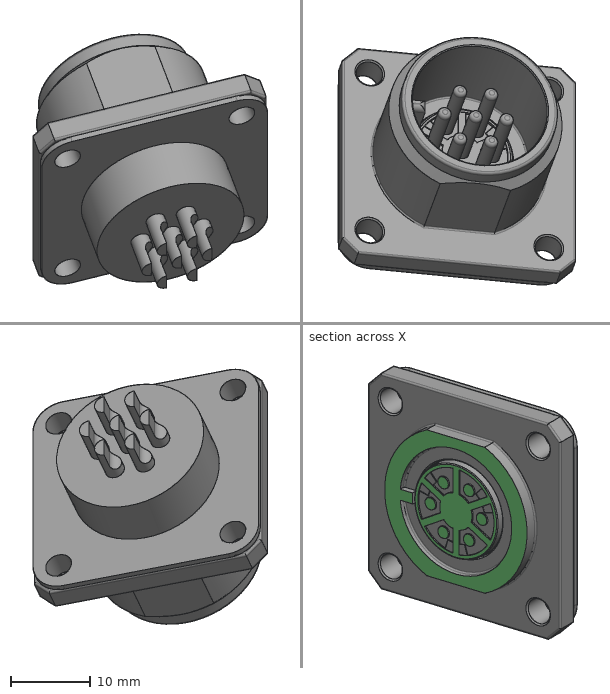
import cadquery as cq
import math

RIM_END = 2.0
FLANGE_FRONT = 14.0
FLANGE_BACK = 17.0
GASKET_BACK = 17.75
BARREL_BACK = 24.5
TAIL_END = 29.3
PIN_TIP = 2.5
KEY_NOSE = 1.1
INSERT_FACE = 12.0
SOCKET_FLOOR = 13.0

RIM_DIAMETER = 20.0
RIM_FILLET = 0.35
BODY_DIAMETER = 22.25
ACROSS_FLATS = 20.35
FOOT_FILLET = 0.2
SOCKET_DIAMETER = 17.3
SOCKET_MOUTH_DIAMETER = 17.6
SOCKET_FLOOR_FILLET = 0.2
BARREL_DIAMETER = 19.4

FLANGE_SIZE = 30.0
FLANGE_CORNER = 2.0
FLANGE_FRONT_FILLET = 0.25
FLANGE_BACK_FILLET = 0.3
GASKET_SIZE = 29.8
GASKET_CORNER_RADIUS = 4.0
HOLE_SPACING = 23.0
HOLE_DIAMETER = 3.4
HOLE_CHAMFER = 0.2

GROOVE_DIAMETER = 13.2
GROOVE_MOUTH_DIAMETER = 13.55
INSERT_DIAMETER = 13.0
INSERT_CHAMFER = 0.3
POCKET_OUTER_DIAMETER = 11.8
HUB_DIAMETER = 5.1
SPOKE_RECESS = 0.1
POCKET_DEPTH = 0.3
SPOKE_WIDTH = 1.0
SPOKE_COUNT = 6
PAD_INNER_DIAMETER = 8.95
PAD_HALF_ANGLE = 17.0
PAD_HEIGHT = 0.15
PAD_ANGLES = (30, 150, 270)

PIN_DIAMETER = 1.7
PIN_TIP_RADIUS = 0.5
TAIL_DIAMETER = 2.5
CONTACT_CIRCLE_RADIUS = 4.0
RING_CONTACT_COUNT = 6
CUP_START = 25.75
KEY_WIDTH = 1.6
KEY_INNER = 6.72
KEY_NOSE_FILLET = 0.75


def disc(diameter, start, end, y=0.0, z=0.0):
    """Solid cylinder along X between two stations."""
    plane = cq.Workplane("YZ", origin=(start, y, z))
    return plane.circle(diameter / 2).extrude(end - start)


def cone(start_diameter, end_diameter, start, length, y=0.0, z=0.0):
    """Conical frustum along X."""
    axis_start = cq.Vector(start, y, z)
    solid = cq.Solid.makeCone(start_diameter / 2, end_diameter / 2, length, axis_start, cq.Vector(1, 0, 0))
    return cq.Workplane(solid)


def bevel_cutter(mouth_diameter, bore_diameter, start, y=0.0, z=0.0):
    """Cutter for a 45 degree bevel at the mouth of a bore."""
    depth = (mouth_diameter - bore_diameter) / 2
    return cone(mouth_diameter, bore_diameter, start, depth, y, z)


def ring(outer_diameter, inner_diameter, start, end):
    """Tube along X between two stations."""
    return disc(outer_diameter, start, end).cut(disc(inner_diameter, start, end))


def square_plate(size, start, end):
    """Square plate normal to X between two stations."""
    return cq.Workplane("YZ", origin=(start, 0, 0)).rect(size, size).extrude(end - start)


def make_body():
    """Front shell: plain rim, conical shoulder, two flats and a fillet at the flange."""
    radius = BODY_DIAMETER / 2
    foot_radius = radius + FOOT_FILLET
    foot_start = FLANGE_FRONT - FOOT_FILLET
    shoulder_end = RIM_END + radius - RIM_DIAMETER / 2
    rim_radius = RIM_DIAMETER / 2
    body = (
        cq.Workplane("XY")
        .moveTo(RIM_END, 0)
        .lineTo(RIM_END, rim_radius)
        .lineTo(shoulder_end, radius)
        .lineTo(foot_start, radius)
        .radiusArc((FLANGE_FRONT, foot_radius), -FOOT_FILLET)
        .lineTo(FLANGE_FRONT, 0)
        .close()
        .revolve(360, (0, 0, 0), (1, 0, 0))
    )
    half_flats = ACROSS_FLATS / 2
    flats = (
        cq.Workplane("XZ", origin=(0, foot_radius, 0))
        .moveTo(0, -half_flats)
        .lineTo(foot_start, -half_flats)
        .radiusArc((FLANGE_FRONT, -half_flats - FOOT_FILLET), FOOT_FILLET)
        .lineTo(FLANGE_FRONT, half_flats + FOOT_FILLET)
        .radiusArc((foot_start, half_flats), FOOT_FILLET)
        .lineTo(0, half_flats)
        .close()
        .extrude(2 * foot_radius)
    )
    rim = disc(RIM_DIAMETER, 0, FLANGE_FRONT).faces("<X").edges().fillet(RIM_FILLET)
    return body.intersect(flats).union(rim)


def make_flange():
    """Square flange with cut corners, rounded edges and a round-cornered gasket plate behind it."""
    flange = square_plate(FLANGE_SIZE, FLANGE_FRONT, FLANGE_BACK)
    flange = flange.edges("|X").chamfer(FLANGE_CORNER)
    flange = flange.faces("<X").edges().fillet(FLANGE_FRONT_FILLET)
    flange = flange.faces(">X").edges().fillet(FLANGE_BACK_FILLET)
    gasket = square_plate(GASKET_SIZE, FLANGE_BACK, GASKET_BACK)
    gasket = gasket.edges("|X").fillet(GASKET_CORNER_RADIUS)
    return flange.union(gasket)


def make_mounting_holes():
    """Cutters for the four corner holes, countersunk at the flange front."""
    half = HOLE_SPACING / 2
    mouth_diameter = HOLE_DIAMETER + 2 * HOLE_CHAMFER
    cutters = cq.Workplane("YZ")
    for y in (-half, half):
        for z in (-half, half):
            hole = disc(HOLE_DIAMETER, FLANGE_FRONT, GASKET_BACK, y, z)
            bevel = bevel_cutter(mouth_diameter, HOLE_DIAMETER, FLANGE_FRONT, y, z)
            cutters = cutters.union(hole).union(bevel)
    return cutters


def make_socket():
    """Cutter for the mating socket with bevelled mouth, and the bevelled groove round the insert."""
    socket = disc(SOCKET_DIAMETER, 0, SOCKET_FLOOR).faces(">X").edges().fillet(SOCKET_FLOOR_FILLET)
    socket = socket.union(bevel_cutter(SOCKET_MOUTH_DIAMETER, SOCKET_DIAMETER, 0))
    groove = disc(GROOVE_DIAMETER, SOCKET_FLOOR, FLANGE_FRONT)
    groove = groove.union(bevel_cutter(GROOVE_MOUTH_DIAMETER, GROOVE_DIAMETER, SOCKET_FLOOR))
    return socket.union(groove)


def make_insert():
    """Contact carrier: proud rim, six shallow pockets parted by spokes, raised pads beside three spokes."""
    spoke_face = INSERT_FACE + SPOKE_RECESS
    pocket_floor = spoke_face + POCKET_DEPTH
    insert = disc(INSERT_DIAMETER, INSERT_FACE, FLANGE_FRONT).faces("<X").chamfer(INSERT_CHAMFER)
    insert = insert.cut(disc(POCKET_OUTER_DIAMETER, INSERT_FACE, spoke_face))
    pockets = ring(POCKET_OUTER_DIAMETER, HUB_DIAMETER, spoke_face, pocket_floor)
    for index in range(SPOKE_COUNT // 2):
        spoke = (
            cq.Workplane("YZ", origin=(spoke_face, 0, 0))
            .rect(SPOKE_WIDTH, INSERT_DIAMETER)
            .extrude(POCKET_DEPTH)
            .rotate((0, 0, 0), (1, 0, 0), index * 360 / SPOKE_COUNT)
        )
        pockets = pockets.cut(spoke)
    insert = insert.cut(pockets)
    pad_ring = ring(POCKET_OUTER_DIAMETER, PAD_INNER_DIAMETER, pocket_floor - PAD_HEIGHT, pocket_floor)
    half_width = INSERT_DIAMETER * math.tan(math.radians(PAD_HALF_ANGLE))
    for angle in PAD_ANGLES:
        wedge = (
            cq.Workplane("YZ", origin=(spoke_face, 0, 0))
            .polyline([(0, 0), (INSERT_DIAMETER, -half_width), (INSERT_DIAMETER, half_width)])
            .close()
            .extrude(POCKET_DEPTH)
            .rotate((0, 0, 0), (1, 0, 0), angle)
        )
        insert = insert.union(pad_ring.intersect(wedge))
    return insert


def make_key():
    """Polarising key on the +Y socket wall, rounded on the three free edges of its nose."""
    wall = (SOCKET_DIAMETER + RIM_DIAMETER) / 4
    size = (FLANGE_FRONT - KEY_NOSE, wall - KEY_INNER, KEY_WIDTH)
    key = cq.Workplane("XY").box(*size, centered=(False, False, True))
    key = key.translate((KEY_NOSE, KEY_INNER, 0))
    return key.faces("<X").edges("not >Y").fillet(KEY_NOSE_FILLET)


def make_contact(y, z):
    """Round-tipped pin at the front, half-round solder tail at the back."""
    pin = disc(PIN_DIAMETER, PIN_TIP, FLANGE_BACK, y, z).faces("<X").edges().fillet(PIN_TIP_RADIUS)
    tail_radius = TAIL_DIAMETER / 2
    tail = disc(TAIL_DIAMETER, BARREL_BACK, TAIL_END, y, z)
    relief = (
        cq.Workplane("XY", origin=(0, y, z - tail_radius))
        .moveTo(CUP_START, tail_radius)
        .radiusArc((CUP_START + tail_radius, 0), -tail_radius)
        .lineTo(TAIL_END, 0)
        .lineTo(TAIL_END, tail_radius)
        .close()
        .extrude(TAIL_DIAMETER)
    )
    return pin.union(tail.cut(relief))


result = make_body().union(make_flange()).union(disc(BARREL_DIAMETER, FLANGE_BACK, BARREL_BACK))
result = result.cut(make_socket()).cut(make_mounting_holes())
result = result.union(make_insert()).union(make_key())
result = result.union(make_contact(0, 0))
for step in range(RING_CONTACT_COUNT):
    contact_angle = math.radians(step * 360 / RING_CONTACT_COUNT)
    contact_y = CONTACT_CIRCLE_RADIUS * math.cos(contact_angle)
    contact_z = CONTACT_CIRCLE_RADIUS * math.sin(contact_angle)
    result = result.union(make_contact(contact_y, contact_z))